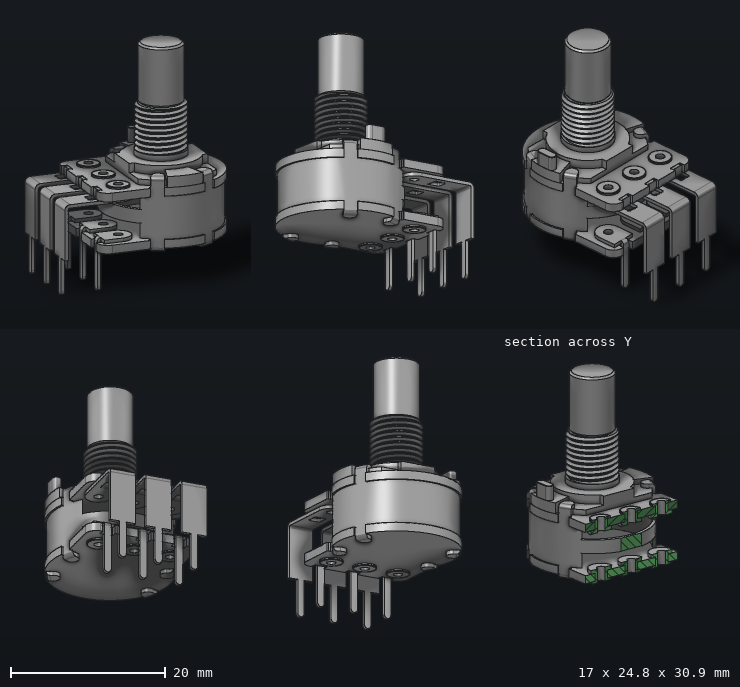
import cadquery as cq
import math


BOARD_THICKNESS = 1.17
BOARD_RADIUS = 8.5
LUG_HALF_WIDTH = 7.65
LUG_BACK_Y = -4.57
LUG_FRONT_Y = -11.5
LUG_CORNER_RADIUS = 1.5
NOTCH_WIDTH = 1.75
NOTCH_BACK_Y = -10.7
BARREL_DIAMETER = 2.0

CAN_RADIUS = 16.5 / 2
CAN_INNER_RADIUS = 15.5 / 2
CAN_WALL = CAN_RADIUS - CAN_INNER_RADIUS
CAN_HEIGHT = 5.87
CAN_OPENING_HALF_WIDTH = 6.15
BAND_HEIGHT = 1.85
LEG_WIDTH = 1.8
LEG_ANGLE = 25.6
FOLD_THICKNESS = 0.55
LEG_TIP_RADIUS = 6.45
LEG_DIRECTIONS = [LEG_ANGLE, 180 - LEG_ANGLE, 180 + LEG_ANGLE, 360 - LEG_ANGLE]

PLATE_THICKNESS = 0.77
PLATE_HALF_DEPTH = 5.5
TAB_HEIGHT = 1.48
TAB_HALF_ANGLE = 17
DISC_RADIUS = 5.4
DISC_HEIGHT = 2.0
FLAT_HALF_WIDTH = 2.53
COLLAR_RADIUS = 7.0 / 2
COLLAR_HEIGHT = 0.77
THREAD_CREST_RADIUS = 6.92 / 2
THREAD_ROOT_RADIUS = 6.05 / 2
THREAD_LENGTH = 6.25
THREAD_PITCH = 6.0 / 8
THREAD_ROOT_WIDTH = 0.65
THREAD_CREST_WIDTH = 0.1
THREAD_SINK = 0.05
THREAD_START = 0.2
SHAFT_RADIUS = 6.0 / 2
SHAFT_CHAMFER = 0.28
SHAFT_TOP_Z = 25.4
KEY_LENGTH = 2.8
KEY_WIDTH = 1.2
KEY_X = -7.85
KEY_HEIGHT = 3.5
KEY_CHAMFER = 0.05

TERMINALS_PER_BOARD = 3
TERMINAL_PITCH = 5.0
TERMINAL_WIDTH = 3.52
SHEET_THICKNESS = 0.5
RIVET_Y = -8.05
RIVET_HOLE_DIAMETER = 1.2
RIVET_HEAD_DIAMETER = 3.1
RIVET_HEAD_HEIGHT = 0.28
RIVET_HEAD_CHAMFER = 0.1
UPPER_TERMINAL_FRONT_Y = -16.25
UPPER_BEND_RADIUS = 0.75
SHOULDER_Z = -0.5
PIN_WIDTH = 1.0
PIN_TIP_Z = -5.5
WINDOW_FRONT_Y = -12.45
WINDOW_CORNER_RADIUS = 0.2
TONGUE_WIDTH = 1.6
TONGUE_CORNER_RADIUS = 0.28
TONGUE_BEND_RADIUS = 0.45

CAN_BOTTOM_Z = BOARD_THICKNESS
CAN_TOP_Z = CAN_BOTTOM_Z + CAN_HEIGHT
BOARD_TOP_Z = CAN_TOP_Z + BOARD_THICKNESS
PLATE_TOP_Z = BOARD_TOP_Z + PLATE_THICKNESS
DISC_TOP_Z = BOARD_TOP_Z + DISC_HEIGHT
COLLAR_TOP_Z = DISC_TOP_Z + COLLAR_HEIGHT
THREAD_TOP_Z = COLLAR_TOP_Z + THREAD_LENGTH
NOTCH_SHEET_FRONT_Y = NOTCH_BACK_Y - SHEET_THICKNESS
TERMINAL_XS = [(i - (TERMINALS_PER_BOARD - 1) / 2) * TERMINAL_PITCH for i in range(TERMINALS_PER_BOARD)]


def block(x_range, y_range, z_range):
    """Box between the given limits."""
    size = [high - low for low, high in (x_range, y_range, z_range)]
    corner = (x_range[0], y_range[0], z_range[0])
    return cq.Workplane().box(*size, centered=False).translate(corner)


def cylinder(radius, z_bottom, z_top, x=0, y=0):
    """Upright cylinder."""
    return cq.Workplane(origin=(x, y, z_bottom)).circle(radius).extrude(z_top - z_bottom)


def leg_prisms():
    """Four upright prisms, one around each leg, with round ends that point at the shaft."""
    outer_radius = BOARD_RADIUS + LEG_WIDTH
    length = outer_radius - LEG_TIP_RADIUS
    prism = (
        cq.Workplane(origin=((LEG_TIP_RADIUS + outer_radius) / 2, 0, -BOARD_THICKNESS))
        .slot2D(length, LEG_WIDTH)
        .extrude(DISC_TOP_Z + BOARD_THICKNESS)
    )
    prisms = cq.Workplane()
    for direction in LEG_DIRECTIONS:
        prisms = prisms.add(prism.rotate((0, 0, 0), (0, 0, 1), direction))
    return prisms.combine()


def leg_slots():
    """Room for the four legs in the rim of the boards."""
    slots = leg_prisms()
    return slots.cut(cylinder(CAN_INNER_RADIUS, -BOARD_THICKNESS, SHAFT_TOP_Z))


def board(z_bottom):
    """Round board with a terminal lug in front, notched for the legs and the terminals."""
    z_top = z_bottom + BOARD_THICKNESS
    lug = block((-LUG_HALF_WIDTH, LUG_HALF_WIDTH), (LUG_FRONT_Y, LUG_BACK_Y), (z_bottom, z_top))
    lug = lug.edges("|Z and <Y").fillet(LUG_CORNER_RADIUS)
    body = cylinder(BOARD_RADIUS, z_bottom, z_top).union(lug).cut(leg_slots())
    for x in TERMINAL_XS:
        notch_x = (x - NOTCH_WIDTH / 2, x + NOTCH_WIDTH / 2)
        body = body.cut(block(notch_x, (LUG_FRONT_Y, NOTCH_BACK_Y), (z_bottom, z_top)))
        body = body.cut(cylinder(BARREL_DIAMETER / 2, z_bottom, z_top, x, RIVET_Y))
    return body


def can_ring():
    """Thin ring that is open at the front, apart from a band at half height."""
    ring = cylinder(CAN_RADIUS, CAN_BOTTOM_Z, CAN_TOP_Z)
    ring = ring.cut(cylinder(CAN_INNER_RADIUS, CAN_BOTTOM_Z, CAN_TOP_Z))
    side_height = (CAN_HEIGHT - BAND_HEIGHT) / 2
    for z_bottom in (CAN_BOTTOM_Z, CAN_TOP_Z - side_height):
        z_range = (z_bottom, z_bottom + side_height)
        opening = block((-CAN_OPENING_HALF_WIDTH, CAN_OPENING_HALF_WIDTH), (-CAN_RADIUS, 0), z_range)
        ring = ring.cut(opening)
    return ring


def can_legs():
    """Four legs that fold over the bracket plate at the top and under the lower board."""
    fold_top_z = PLATE_TOP_Z + FOLD_THICKNESS
    fold_bottom_z = -FOLD_THICKNESS
    hub_radius = LEG_TIP_RADIUS - CAN_WALL
    top_bend_z = fold_top_z - CAN_WALL
    bottom_bend_z = fold_bottom_z + CAN_WALL
    mid_bend = CAN_WALL * math.sqrt(0.5)
    mid_bend_radius = CAN_INNER_RADIUS + mid_bend
    folded_wall = (
        cq.Workplane("XZ")
        .moveTo(hub_radius, fold_bottom_z)
        .lineTo(CAN_INNER_RADIUS, fold_bottom_z)
        .threePointArc((mid_bend_radius, bottom_bend_z - mid_bend), (CAN_RADIUS, bottom_bend_z))
        .lineTo(CAN_RADIUS, top_bend_z)
        .threePointArc((mid_bend_radius, top_bend_z + mid_bend), (CAN_INNER_RADIUS, fold_top_z))
        .lineTo(hub_radius, fold_top_z)
        .lineTo(hub_radius, PLATE_TOP_Z)
        .lineTo(CAN_INNER_RADIUS, PLATE_TOP_Z)
        .lineTo(CAN_INNER_RADIUS, 0)
        .lineTo(hub_radius, 0)
        .close()
        .revolve(360, (0, 0, 0), (0, 1, 0))
    )
    return folded_wall.intersect(leg_prisms())


def can():
    """Ring and legs as one body."""
    return can_ring().union(can_legs())


def bracket_plate():
    """Round plate with two flat sides, and the thicker disc that carries the bushing."""
    y_range = (-PLATE_HALF_DEPTH, PLATE_HALF_DEPTH)
    outline = block((-CAN_INNER_RADIUS, CAN_INNER_RADIUS), y_range, (BOARD_TOP_Z, PLATE_TOP_Z))
    plate = cylinder(CAN_INNER_RADIUS, BOARD_TOP_Z, PLATE_TOP_Z).intersect(outline)
    flats = block((-FLAT_HALF_WIDTH, FLAT_HALF_WIDTH), y_range, (BOARD_TOP_Z, DISC_TOP_Z))
    return plate.union(cylinder(DISC_RADIUS, BOARD_TOP_Z, DISC_TOP_Z)).union(flats)


def bracket_tabs():
    """Raised sectors that reach the board rim on the -X and +X sides."""
    far_x = 2 * BOARD_RADIUS
    far_y = far_x * math.tan(math.radians(TAB_HALF_ANGLE))
    wedges = (
        cq.Workplane(origin=(0, 0, BOARD_TOP_Z))
        .polyline([(0, 0), (far_x, -far_y), (far_x, far_y)])
        .close()
        .polyline([(0, 0), (-far_x, far_y), (-far_x, -far_y)])
        .close()
        .extrude(TAB_HEIGHT)
    )
    rim = cylinder(BOARD_RADIUS, BOARD_TOP_Z, DISC_TOP_Z)
    middle = cylinder(COLLAR_RADIUS, BOARD_TOP_Z, DISC_TOP_Z)
    return wedges.intersect(rim).cut(middle)


def anti_rotation_key():
    """Oblong peg on the -X tab."""
    outline = cq.Workplane(origin=(KEY_X, 0, BOARD_TOP_Z)).slot2D(KEY_LENGTH, KEY_WIDTH, 90)
    key = outline.extrude(KEY_HEIGHT)
    return key.faces(">Z").chamfer(KEY_CHAMFER)


def thread():
    """Right-hand helical ridge on the bushing, cut off flat at the top of the bushing."""
    start_z = DISC_TOP_Z + THREAD_START
    helix_height = THREAD_TOP_Z - start_z + THREAD_PITCH
    flank_slope = (THREAD_ROOT_WIDTH - THREAD_CREST_WIDTH) / 2 / (THREAD_CREST_RADIUS - THREAD_ROOT_RADIUS)
    sunk_radius = THREAD_ROOT_RADIUS - THREAD_SINK
    sunk_half_width = THREAD_ROOT_WIDTH / 2 + THREAD_SINK * flank_slope
    crest_half_width = THREAD_CREST_WIDTH / 2
    helix = cq.Wire.makeHelix(THREAD_PITCH, helix_height, THREAD_ROOT_RADIUS)
    path = helix.translate(cq.Vector(0, 0, start_z))
    ridge = (
        cq.Workplane("XZ")
        .polyline([
            (sunk_radius, start_z - sunk_half_width),
            (THREAD_CREST_RADIUS, start_z - crest_half_width),
            (THREAD_CREST_RADIUS, start_z + crest_half_width),
            (sunk_radius, start_z + sunk_half_width),
        ])
        .close()
        .sweep(cq.Workplane(path), isFrenet=True)
    )
    return ridge.intersect(cylinder(COLLAR_RADIUS, DISC_TOP_Z, THREAD_TOP_Z))


def bushing():
    """Threaded sleeve with a plain collar at its foot."""
    core = cylinder(THREAD_ROOT_RADIUS, DISC_TOP_Z, THREAD_TOP_Z)
    return core.union(thread()).union(cylinder(COLLAR_RADIUS, DISC_TOP_Z, COLLAR_TOP_Z))


def shaft():
    """Plain shaft on top of the bushing, chamfered at both ends."""
    return cylinder(SHAFT_RADIUS, THREAD_TOP_Z, SHAFT_TOP_Z).faces("<Z or >Z").chamfer(SHAFT_CHAMFER)


def shaft_bracket():
    """Plate, tabs, key, bushing and shaft as one body."""
    bracket = bracket_plate().union(bracket_tabs()).union(anti_rotation_key())
    return bracket.union(bushing()).union(shaft())


def pad(front_y, z_bottom):
    """Flat strip with a round end around the rivet."""
    z_top = z_bottom + SHEET_THICKNESS
    half_width = TERMINAL_WIDTH / 2
    strip = block((-half_width, half_width), (front_y, RIVET_Y), (z_bottom, z_top))
    return strip.union(cylinder(half_width, z_bottom, z_top, 0, RIVET_Y))


def bent_strip(width, back_y, front_y, top_z, bottom_z, bend_radius):
    """Sheet strip that runs forward and bends down, with the given outer bend radius."""
    half_width = width / 2
    x_range = (-half_width, half_width)
    strip = block(x_range, (front_y, back_y), (bottom_z, top_z))
    strip = strip.edges("|X and >Z and <Y").fillet(bend_radius)
    inside = block(x_range, (front_y + SHEET_THICKNESS, back_y), (bottom_z, top_z - SHEET_THICKNESS))
    inner_radius = bend_radius - SHEET_THICKNESS
    if inner_radius > 0:
        inside = inside.edges("|X and >Z and <Y").fillet(inner_radius)
    return strip.cut(inside)


def round_pin_tip(pin, front_y):
    """Round off the lower end of a pin over its full width."""
    mask = (
        cq.Workplane("XZ", origin=(0, front_y + SHEET_THICKNESS, 0))
        .center(0, (PIN_TIP_Z + BOARD_TOP_Z) / 2)
        .slot2D(BOARD_TOP_Z - PIN_TIP_Z, PIN_WIDTH, 90)
        .extrude(SHEET_THICKNESS)
    )
    keep_above = block(
        (-TERMINAL_WIDTH, TERMINAL_WIDTH), (front_y, 0), (PIN_TIP_Z + PIN_WIDTH / 2, BOARD_TOP_Z)
    )
    return pin.intersect(mask.union(keep_above))


def rivet(board_z, head_z):
    """Barrel through the board, with a chamfered head whose lower face is at head_z."""
    barrel = cylinder(BARREL_DIAMETER / 2, board_z, board_z + BOARD_THICKNESS, 0, RIVET_Y)
    head = cylinder(RIVET_HEAD_DIAMETER / 2, head_z, head_z + RIVET_HEAD_HEIGHT, 0, RIVET_Y)
    free_face = ">Z" if head_z > board_z else "<Z"
    return barrel.union(head.faces(free_face).chamfer(RIVET_HEAD_CHAMFER))


def drill_rivet(body):
    """Hole through the rivet and the pad."""
    return body.cut(cylinder(RIVET_HOLE_DIAMETER / 2, PIN_TIP_Z, SHAFT_TOP_Z, 0, RIVET_Y))


def locating_tongue():
    """Tongue bent up out of the upper terminal into the notch of its board."""
    x_range = (-TONGUE_WIDTH / 2, TONGUE_WIDTH / 2)
    z_range = (CAN_TOP_Z - SHEET_THICKNESS, BOARD_TOP_Z)
    tongue = block(x_range, (NOTCH_SHEET_FRONT_Y, NOTCH_BACK_Y), z_range)
    tongue = tongue.edges("|Y and >Z").fillet(TONGUE_CORNER_RADIUS)
    return tongue.edges("|X and <Z and <Y").fillet(TONGUE_BEND_RADIUS)


def upper_terminal():
    """Long terminal under the upper board: pad, wide bent strip, pin and locating tongue."""
    pad_z = CAN_TOP_Z - SHEET_THICKNESS
    strip_back_y = LUG_FRONT_Y
    window_x = (-TONGUE_WIDTH / 2, TONGUE_WIDTH / 2)
    window = block(window_x, (WINDOW_FRONT_Y, NOTCH_BACK_Y), (pad_z, CAN_TOP_Z))
    window = window.edges("|Z and <Y").fillet(WINDOW_CORNER_RADIUS)
    strip = bent_strip(
        TERMINAL_WIDTH, strip_back_y, UPPER_TERMINAL_FRONT_Y, CAN_TOP_Z, SHOULDER_Z, UPPER_BEND_RADIUS
    )
    pin = block(
        (-PIN_WIDTH / 2, PIN_WIDTH / 2),
        (UPPER_TERMINAL_FRONT_Y, UPPER_TERMINAL_FRONT_Y + SHEET_THICKNESS),
        (PIN_TIP_Z, SHOULDER_Z),
    )
    pin = round_pin_tip(pin, UPPER_TERMINAL_FRONT_Y)
    body = pad(strip_back_y, pad_z).union(strip).union(pin).cut(window).union(locating_tongue())
    return drill_rivet(body.union(rivet(CAN_TOP_Z, BOARD_TOP_Z)))


def lower_terminal():
    """Short terminal on the lower board: pad and a pin bent down through the notch."""
    pad_top_z = BOARD_THICKNESS + SHEET_THICKNESS
    pin = bent_strip(PIN_WIDTH, RIVET_Y, NOTCH_SHEET_FRONT_Y, pad_top_z, PIN_TIP_Z, SHEET_THICKNESS)
    pin = round_pin_tip(pin, NOTCH_SHEET_FRONT_Y)
    body = pad(NOTCH_BACK_Y, BOARD_THICKNESS).union(pin)
    return drill_rivet(body.union(rivet(0, -RIVET_HEAD_HEIGHT)))


lower_board = board(0)
upper_board = board(CAN_TOP_Z)
upper_terminals = [upper_terminal().translate((x, 0, 0)) for x in TERMINAL_XS]
lower_terminals = [lower_terminal().translate((x, 0, 0)) for x in TERMINAL_XS]

result = cq.Compound.makeCompound([
    shaft_bracket().val(),
    can().val(),
    upper_board.val(),
    lower_board.val(),
    *[terminal.val() for terminal in upper_terminals],
    *[terminal.val() for terminal in lower_terminals],
])